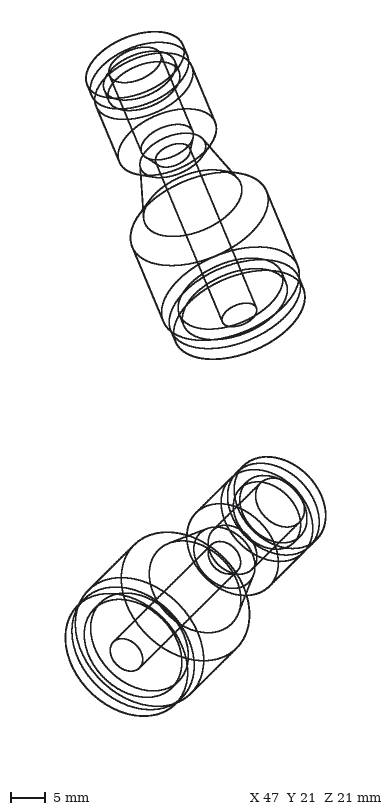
import cadquery as cq

length = 47.0
flange_width = 2.0
groove_width = 1.97
small_body_end = 14.5
neck_start = 17.0
neck_end = 26.0
large_body_start = 28.95

small_diameter = 15.0
small_groove_diameter = 11.0
neck_diameter = 10.0
large_diameter = 21.0
large_flange_diameter = 20.0
large_groove_diameter = 16.0

socket_diameter = 8.0
passage_diameter = 5.3
socket_depth = small_body_end
taper_end = neck_start

flange_and_groove = flange_width + groove_width


def revolve_about_x(stations):
    """Solid of revolution through (x, diameter) stations, closed along the X axis."""
    start_x = stations[0][0]
    end_x = stations[-1][0]
    outline = [(x, diameter / 2) for x, diameter in stations]
    profile = cq.Workplane("XY").polyline([(start_x, 0), *outline, (end_x, 0)]).close()
    return profile.revolve(360, (0, 0, 0), (1, 0, 0))


body = revolve_about_x([
    (0, small_diameter),
    (flange_width, small_diameter),
    (flange_width, small_groove_diameter),
    (flange_and_groove, small_groove_diameter),
    (flange_and_groove, small_diameter),
    (small_body_end, small_diameter),
    (neck_start, neck_diameter),
    (neck_end, small_diameter),
    (large_body_start, large_diameter),
    (length - flange_and_groove, large_diameter),
    (length - flange_and_groove, large_groove_diameter),
    (length - flange_width, large_groove_diameter),
    (length - flange_width, large_flange_diameter),
    (length, large_flange_diameter),
])

bore = revolve_about_x([
    (0, socket_diameter),
    (socket_depth, socket_diameter),
    (taper_end, passage_diameter),
    (length, passage_diameter),
])

result = body.cut(bore)